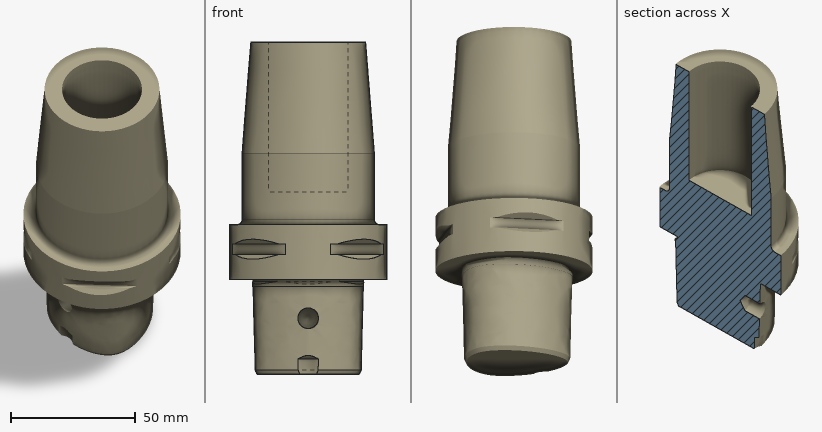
import cadquery as cq
import math

shank_length = 38.0
flange_height = 22.0
total_height = 133.0
flange_top = shank_length + flange_height

flange_diameter = 63.0
body_diameter = 53.0
nose_diameter = 46.0
nose_length = 44.5
body_fillet = 2.0
bore_diameter = 32.0
bore_depth = 60.0

shank_width = 44.2
lobe_height = 1.3
lobe_count = 3
lobe_direction = math.radians(90)
seam_direction = math.radians(-90)
taper_ratio = 1 / 20
neck_height = 2.8
neck_step = 0.15
end_chamfer_height = 1.7
end_chamfer_depth = 0.9
curve_samples = 48

relief_height = 1.8
relief_wall_height = 0.8
relief_radius = 22.2

groove_count = 4
groove_first_angle = 45.0
groove_offset = 12.15
groove_center_z = shank_length + groove_offset
groove_depth = 3.8
groove_floor_height = 4.2
groove_wall_depth = 1.3
groove_mouth_height = 8.0

drill_point_angle = 118.0
side_hole_diameter = 8.2
side_hole_z = 22.5
side_hole_depth = 8.0
key_diameter = 10.0
key_depth = 6.2
key_center_y = -22.7


def polygon_point(half_width, angle, z):
    """Point of a constant-width lobed curve whose outward normal lies at the given angle."""
    phase = lobe_count * (angle - lobe_direction)
    support = half_width + lobe_height * math.cos(phase)
    slope = -lobe_count * lobe_height * math.sin(phase)
    x = support * math.cos(angle) - slope * math.sin(angle)
    y = support * math.sin(angle) + slope * math.cos(angle)
    return cq.Vector(x, y, z)


def polygon_wire(half_width, z):
    angles = [seam_direction + 2 * math.pi * index / curve_samples for index in range(curve_samples)]
    points = [polygon_point(half_width, angle, z) for angle in angles]
    return cq.Wire.assembleEdges([cq.Edge.makeSpline(points, periodic=True)])


def polygon_solid(lower_half_width, lower_z, upper_half_width, upper_z):
    wires = [polygon_wire(lower_half_width, lower_z), polygon_wire(upper_half_width, upper_z)]
    return cq.Workplane(cq.Solid.makeLoft(wires, True))


def make_body():
    flange_radius = flange_diameter / 2
    body_radius = body_diameter / 2
    nose_start = total_height - nose_length
    fillet_start = (body_radius + body_fillet, flange_top)
    fillet_end = (body_radius, flange_top + body_fillet)
    return (
        cq.Workplane("XZ")
        .moveTo(0, shank_length)
        .lineTo(flange_radius, shank_length)
        .lineTo(flange_radius, flange_top)
        .lineTo(*fillet_start)
        .radiusArc(fillet_end, body_fillet)
        .lineTo(body_radius, nose_start)
        .lineTo(nose_diameter / 2, total_height)
        .lineTo(0, total_height)
        .close()
        .revolve(360, (0, 0, 0), (0, 1, 0))
    )


def make_shank():
    neck_start = shank_length - neck_height
    upper_half = shank_width / 2
    lower_half = upper_half - taper_ratio / 2 * (neck_start - end_chamfer_height)
    end_half = lower_half - end_chamfer_depth
    neck_half = upper_half + neck_step
    chamfer = polygon_solid(end_half, 0, lower_half, end_chamfer_height)
    taper = polygon_solid(lower_half, end_chamfer_height, upper_half, neck_start)
    neck = polygon_solid(neck_half, neck_start, neck_half, shank_length)
    return chamfer.union(taper).union(neck.cut(make_relief()))


def make_relief():
    """Ring with an upright then sloped inner face that trims the lobes toward the flange."""
    outer_radius = flange_diameter / 2
    lobe_radius = shank_width / 2 + lobe_height + neck_step
    relief_start = shank_length - relief_height
    return (
        cq.Workplane("XZ")
        .moveTo(relief_radius, shank_length)
        .lineTo(relief_radius, shank_length - relief_wall_height)
        .lineTo(lobe_radius, relief_start)
        .lineTo(outer_radius, relief_start)
        .lineTo(outer_radius, shank_length)
        .close()
        .revolve(360, (0, 0, 0), (0, 1, 0))
    )


def make_groove(angle):
    """Straight groove with upright walls that open into sloped flanks, cut across the flange rim."""
    rim = flange_diameter / 2
    floor = rim - groove_depth
    flank_start = floor + groove_wall_depth
    half_floor = groove_floor_height / 2
    half_mouth = groove_mouth_height / 2
    return (
        cq.Workplane("XZ")
        .moveTo(floor, groove_center_z - half_floor)
        .lineTo(flank_start, groove_center_z - half_floor)
        .lineTo(rim, groove_center_z - half_mouth)
        .lineTo(rim, groove_center_z + half_mouth)
        .lineTo(flank_start, groove_center_z + half_floor)
        .lineTo(floor, groove_center_z + half_floor)
        .close()
        .extrude(rim, both=True)
        .rotate((0, 0, 0), (0, 0, 1), angle)
    )


def make_drill(diameter, depth, lead):
    """Drill along +Z: full diameter from -lead to depth, then a conical point."""
    radius = diameter / 2
    point_height = radius / math.tan(math.radians(drill_point_angle / 2))
    return (
        cq.Workplane("XZ")
        .moveTo(0, -lead)
        .lineTo(radius, -lead)
        .lineTo(radius, depth)
        .lineTo(0, depth + point_height)
        .close()
        .revolve(360, (0, 0, 0), (0, 1, 0))
    )


def make_side_hole():
    surface_y = -(shank_width / 2 - lobe_height)
    drill = make_drill(side_hole_diameter, side_hole_depth, side_hole_diameter)
    return drill.rotate((0, 0, 0), (1, 0, 0), -90).translate((0, surface_y, side_hole_z))


def make_key_recess():
    return make_drill(key_diameter, key_depth, key_diameter).translate((0, key_center_y, 0))


def make_bore():
    bore_floor = total_height - bore_depth
    return cq.Workplane("XY", origin=(0, 0, bore_floor)).circle(bore_diameter / 2).extrude(bore_depth)


result = make_body().union(make_shank()).cut(make_bore())
for index in range(groove_count):
    result = result.cut(make_groove(groove_first_angle + index * 360 / groove_count))
result = result.cut(make_side_hole()).cut(make_key_recess())